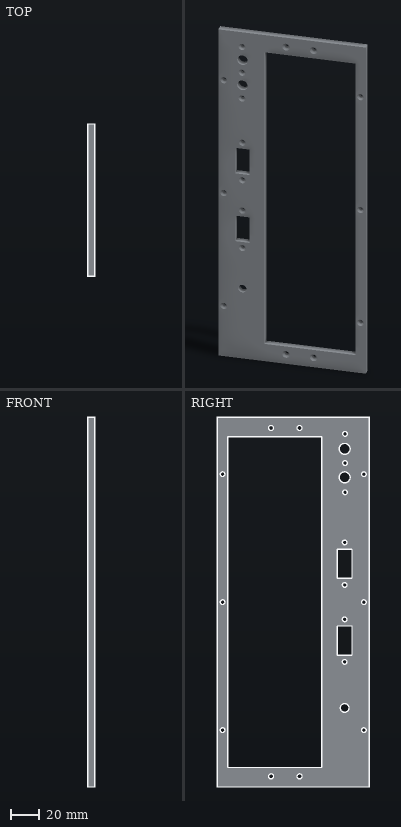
import cadquery as cq

thickness = 5.0
width = 107.0
height = 260.0
front_x = -thickness / 2
left_y = width / 2
top_z = height / 2

window_left_margin = 33.5
window_right_margin = 7.5
window_end_margin = 13.8
window_width = width - window_left_margin - window_right_margin
window_height = height - 2 * window_end_margin
window_y = (window_right_margin - window_left_margin) / 2

screw_diameter = 3.0
end_screw_diameter = 3.5
countersink_diameter = 5.0
end_countersink_diameter = 5.5
countersink_angle = 90

side_screw_inset = 4.0
side_screw_y = width / 2 - side_screw_inset
side_screw_pitch = 90.0

end_screw_inset = 7.5
end_screw_z = height / 2 - end_screw_inset
end_screw_first_y = left_y - 49.1
end_screw_pitch = 20.0

column_y = left_y - 17.5
jack_diameter = 7.5
jack_pitch = 20.0
jack_middle_z = top_z - 32.2
jack_screw_pitch = 20.5
jack_screw_y = left_y - 17.2
connector_width = 10.1
connector_height = 20.3
connector_screw_spacing = 30.0
connector_positions = (top_z - 103.0, top_z - 157.0)
indicator_diameter = 6.0
indicator_z = 55.6 - top_z


def front_plane(points):
    """Workplane on the front face holding (y, z) points; its normal points out of the panel."""
    plane = cq.Plane(origin=(front_x, 0, 0), xDir=(0, -1, 0), normal=(-1, 0, 0))
    return cq.Workplane(plane).pushPoints([(-y, z) for y, z in points])


def rectangular_cutters(points, size_y, size_z):
    return front_plane(points).rect(size_y, size_z).extrude(-thickness)


def round_cutters(points, diameter):
    return front_plane(points).circle(diameter / 2).extrude(-thickness)


def drill_screws(body, points, diameter, head_diameter):
    """Drill through holes that are countersunk from the front face."""
    face = body.faces("<X").workplane(origin=(front_x, 0, 0))
    local_points = [face.plane.toLocalCoords(cq.Vector(front_x, y, z)).toTuple()[:2] for y, z in points]
    return face.pushPoints(local_points).cskHole(diameter, head_diameter, countersink_angle)


side_screws = [
    (side * side_screw_y, row * side_screw_pitch)
    for side in (-1, 1)
    for row in (-1, 0, 1)
]
end_screws = [
    (end_screw_first_y - column * end_screw_pitch, end * end_screw_z)
    for column in (0, 1)
    for end in (-1, 1)
]
jack_screws = [(jack_screw_y, jack_middle_z + row * jack_screw_pitch) for row in (-1, 0, 1)]
jacks = [(column_y, jack_middle_z + side * jack_pitch / 2) for side in (-1, 1)]
connectors = [(column_y, z) for z in connector_positions]
connector_screws = [
    (column_y, z + side * connector_screw_spacing / 2)
    for z in connector_positions
    for side in (-1, 1)
]

panel = cq.Workplane("XY").box(thickness, width, height)
panel = panel.cut(rectangular_cutters([(window_y, 0)], window_width, window_height))
panel = panel.cut(rectangular_cutters(connectors, connector_width, connector_height))
panel = panel.cut(round_cutters(jacks, jack_diameter))
panel = panel.cut(round_cutters([(column_y, indicator_z)], indicator_diameter))

small_screws = side_screws + jack_screws + connector_screws
panel = drill_screws(panel, small_screws, screw_diameter, countersink_diameter)
panel = drill_screws(panel, end_screws, end_screw_diameter, end_countersink_diameter)

result = panel